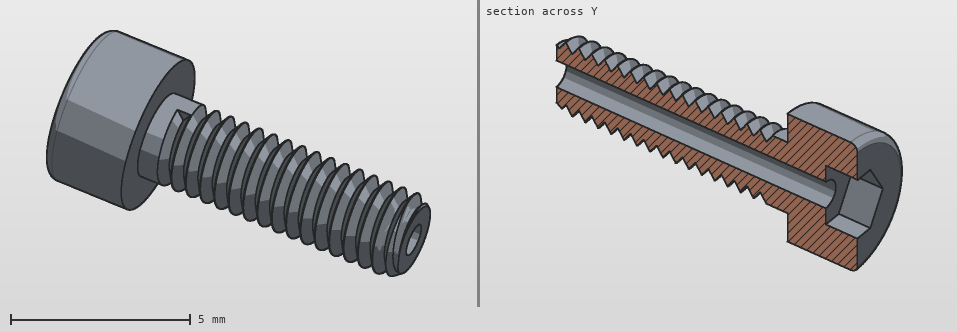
import cadquery as cq
import math

total_length = 10.43
head_diameter = 4.5
head_length = 2.43
head_fillet = 0.25
shank_radius = 1.25

socket_across_flats = 2.04
socket_depth = 1.1
bore_diameter = 0.92

pitch = 0.45
thread_depth = 0.31
thread_start = 2.92
thread_start_angle = 9.5
cutter_overhang = 0.01
cutter_gap = 0.01

tip_chamfer_length = 0.32
tip_chamfer_depth = 0.24


def make_head():
    """Cylindrical head with a rounded outer rim."""
    head = cq.Workplane("YZ").circle(head_diameter / 2).extrude(head_length)
    return head.faces("<X").edges().fillet(head_fillet)


def make_threaded_rod():
    """Rod longer than the shank, so that the whole thread groove lies within its length."""
    rod_length = total_length + 4 * pitch
    rod = cq.Workplane("YZ").circle(shank_radius).extrude(rod_length)
    return rod.cut(make_thread_cutter())


def make_shank_envelope():
    """Outer limits of the shank, with a conical tip; wider than the rod up to the cone."""
    tip_radius = shank_radius - tip_chamfer_depth
    clear_radius = 2 * shank_radius
    cone_slope = tip_chamfer_length / tip_chamfer_depth
    cone_start = total_length - cone_slope * (clear_radius - tip_radius)
    return (
        cq.Workplane("XY")
        .moveTo(0, 0)
        .lineTo(0, clear_radius)
        .lineTo(cone_start, clear_radius)
        .lineTo(total_length, tip_radius)
        .lineTo(total_length, 0)
        .close()
        .revolve(360, (0, 0, 0), (1, 0, 0))
    )


def make_thread_cutter():
    """Helical V cutter that begins abruptly and runs out past the tip."""
    root_radius = shank_radius - thread_depth
    outer_radius = shank_radius + cutter_overhang
    half_width = (pitch - cutter_gap) / 2
    helix_height = total_length - thread_start + pitch
    helix = cq.Wire.makeHelix(pitch, helix_height, shank_radius)
    cutter = (
        cq.Workplane("XZ")
        .moveTo(root_radius, 0)
        .lineTo(outer_radius, half_width)
        .lineTo(outer_radius, -half_width)
        .close()
        .sweep(cq.Workplane(obj=helix), isFrenet=True)
    )
    cutter = cutter.rotate((0, 0, 0), (0, 1, 0), 90)
    cutter = cutter.rotate((0, 0, 0), (1, 0, 0), 180 - thread_start_angle)
    return cutter.translate((thread_start + pitch / 2, 0, 0))


def make_socket():
    """Hexagonal socket with two corners on the Y axis."""
    across_corners = socket_across_flats / math.cos(math.radians(30))
    return cq.Workplane("YZ").polygon(6, across_corners).extrude(socket_depth)


def make_bore():
    """Round bore along the whole screw."""
    return cq.Workplane("YZ").circle(bore_diameter / 2).extrude(total_length)


shank = make_threaded_rod().intersect(make_shank_envelope())
result = make_head().union(shank).cut(make_socket()).cut(make_bore())